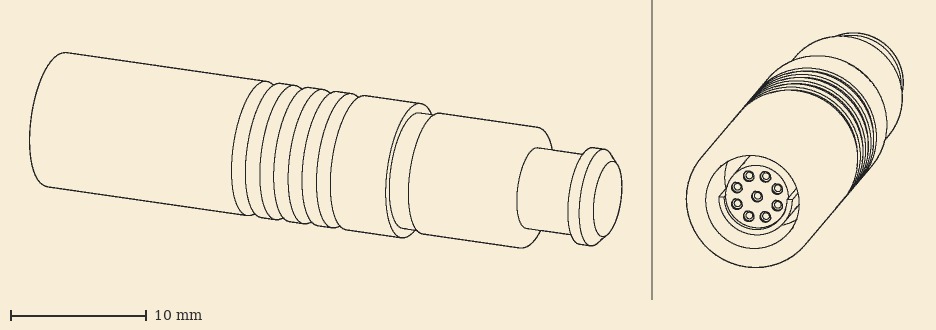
import cadquery as cq


body_radius = 5.0
body_end = 28.4
front_fillet = 0.3

groove_count = 4
groove_pitch = 2.25
last_groove_end = 24.0
groove_width = 1.1
groove_ramp_length = 0.55
groove_depth = 0.27
groove_arc_rise = 0.06

neck_radius = 4.3
collar_start = 30.0
collar_radius = 4.5
collar_end = 38.0
collar_fillet = 0.3
spigot_radius = 3.0
flange_start = 42.3
flange_radius = 3.6
flange_chamfer = 0.8
overall_length = 44.0

bore_radius = 3.5
bore_depth = 8.0
insert_radius = 2.35
insert_face = 1.9
shell_radius = 2.75
shell_face = 1.3

ring_contact_count = 8
contact_circle_radius = 1.63
contact_mouth_radius = 0.4
contact_mouth_depth = 0.3
contact_hole_radius = 0.25
contact_hole_depth = 3.0


def cylinder(radius, start, end):
    """Solid cylinder on the X axis between two X positions."""
    return cq.Workplane("YZ").workplane(offset=start).circle(radius).extrude(end - start)


def stepped_body():
    """Outer shape without grooves or socket."""
    main = cylinder(body_radius, 0, body_end).faces("<X").edges().fillet(front_fillet)
    neck = cylinder(neck_radius, body_end, collar_start)
    collar = cylinder(collar_radius, collar_start, collar_end).faces(">X").edges().fillet(collar_fillet)
    spigot = cylinder(spigot_radius, collar_end, flange_start)
    flange = cylinder(flange_radius, flange_start, overall_length).faces(">X").chamfer(flange_chamfer)
    return main.union(neck).union(collar).union(spigot).union(flange)


def grip_groove(end):
    """Ring to remove for the groove whose square wall stands at X = end."""
    start = end - groove_width
    floor_radius = body_radius - groove_depth
    clear_radius = body_radius + groove_depth
    profile = (
        cq.Workplane("XY")
        .moveTo(start, body_radius)
        .lineTo(start + groove_ramp_length, floor_radius)
        .tangentArcPoint((end, floor_radius + groove_arc_rise), relative=False)
        .lineTo(end, clear_radius)
        .lineTo(start, clear_radius)
        .close()
    )
    return profile.revolve(360, (0, 0, 0), (1, 0, 0))


def contact_insert():
    """Round insert with a half shell around its lower side that stands proud of its face."""
    insert = cylinder(insert_radius, insert_face, bore_depth)
    shell = cylinder(shell_radius, shell_face, bore_depth)
    shell = shell.cut(cylinder(insert_radius, shell_face, bore_depth))
    lower_half = cq.Workplane("XY").box(
        bore_depth, 2 * shell_radius, shell_radius, centered=(False, True, False)
    )
    lower_half = lower_half.translate((0, 0, -shell_radius))
    return insert.union(shell.intersect(lower_half))


def contact_cylinders(radius, depth):
    """Cylinders at every contact position, reaching the given depth into the insert."""
    face = cq.Workplane("YZ").workplane(offset=insert_face)
    half_step = 180 / ring_contact_count
    ring = face.polarArray(contact_circle_radius, half_step, 360, ring_contact_count)
    center = cylinder(radius, insert_face, insert_face + depth)
    return ring.circle(radius).extrude(depth).union(center)


result = stepped_body()
for index in range(groove_count):
    result = result.cut(grip_groove(last_groove_end - index * groove_pitch))
result = result.cut(cylinder(bore_radius, 0, bore_depth))
result = result.union(contact_insert())
result = result.cut(contact_cylinders(contact_mouth_radius, contact_mouth_depth))
result = result.cut(contact_cylinders(contact_hole_radius, contact_hole_depth))